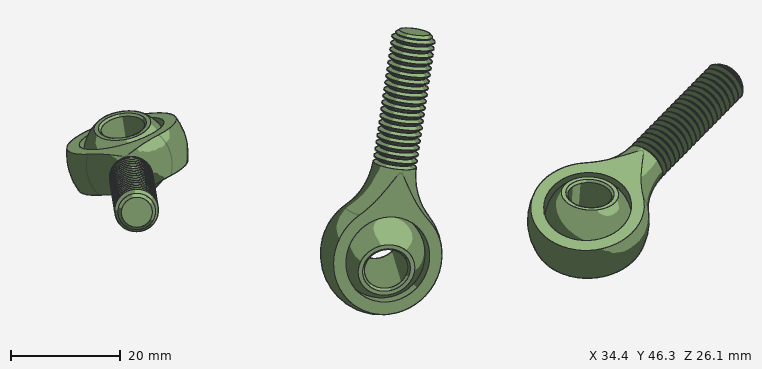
import cadquery as cq
import math

CENTRE = (-6.05, 12.1, -4.95)
STUD_DIRECTION = (48.8, -79.9, 35.2)
HEAD_NORMAL = (-39.0, 16.2, 90.6)
BALL_AXIS = (-17.5, 0.7, 98.5)

HEAD_RADIUS = 11.1
HEAD_THICKNESS = 8.05
BALL_DIAMETER = 16.05

STUD_END = 42.0
THREAD_LENGTH = 25.02
THREAD_START = STUD_END - THREAD_LENGTH
THREAD_RADIUS = 8.0 / 2
ROOT_RADIUS = 6.4 / 2
TIP_RADIUS = 2.83
TIP_CHAMFER_LENGTH = 1.0

THREAD_PITCH = 1.25
ROOT_FLAT = THREAD_PITCH / 8
FLANK_HALF_ANGLE = 30
GROOVE_MOUTH = ROOT_FLAT + 2 * (THREAD_RADIUS - ROOT_RADIUS) * math.tan(math.radians(FLANK_HALF_ANGLE))
GROOVE_COUNT = 20
FIRST_GROOVE = THREAD_START + 0.5

NECK_START = 7.9

BALL_WIDTH = 12.15
BORE_DIAMETER = 8.0
BORE_CHAMFER = 0.4


def head_and_neck():
    """Head sphere and neck revolved about the stud axis (local X), then cut to the flats."""
    neck_start_radius = math.sqrt(HEAD_RADIUS**2 - NECK_START**2)
    profile = (
        cq.Workplane("XY")
        .moveTo(-HEAD_RADIUS, 0)
        .threePointArc((0, HEAD_RADIUS), (NECK_START, neck_start_radius))
        .tangentArcPoint((THREAD_START, THREAD_RADIUS), relative=False)
        .lineTo(THREAD_START, 0)
        .close()
    )
    turned = profile.revolve(360, (0, 0, 0), (1, 0, 0))
    slab = cq.Workplane("XY").box(4 * HEAD_RADIUS, 4 * HEAD_RADIUS, HEAD_THICKNESS)
    seat = cq.Workplane("XY").circle(BALL_DIAMETER / 2).extrude(HEAD_THICKNESS, both=True)
    return turned.intersect(slab).cut(seat)


def stud_blank():
    """Plain stud along local X with a conical tip."""
    return (
        cq.Workplane("XY")
        .moveTo(THREAD_START, 0)
        .lineTo(THREAD_START, THREAD_RADIUS)
        .lineTo(STUD_END - TIP_CHAMFER_LENGTH, THREAD_RADIUS)
        .lineTo(STUD_END, TIP_RADIUS)
        .lineTo(STUD_END, 0)
        .close()
        .revolve(360, (0, 0, 0), (1, 0, 0))
    )


def thread_groove(position):
    """Ring with a V section and a narrow flat root, centred at a distance along local X."""
    mouth_half = GROOVE_MOUTH / 2
    root_half = ROOT_FLAT / 2
    return (
        cq.Workplane("XY")
        .moveTo(position - root_half, ROOT_RADIUS)
        .lineTo(position - mouth_half, THREAD_RADIUS)
        .lineTo(position + mouth_half, THREAD_RADIUS)
        .lineTo(position + root_half, ROOT_RADIUS)
        .close()
        .revolve(360, (0, 0, 0), (1, 0, 0))
    )


def threaded_stud():
    """Stud whose thread is a row of parallel ring grooves."""
    stud = stud_blank()
    for index in range(GROOVE_COUNT):
        stud = stud.cut(thread_groove(FIRST_GROOVE + index * THREAD_PITCH))
    return stud


def make_rod_end():
    """Head, neck and threaded stud as one solid."""
    body = head_and_neck().union(threaded_stud())
    plane = cq.Plane(origin=CENTRE, xDir=STUD_DIRECTION, normal=HEAD_NORMAL)
    return body.val().moved(plane.location)


def make_ball():
    """Ball with two flats and a through bore chamfered at both ends."""
    bore_radius = BORE_DIAMETER / 2
    slab = cq.Workplane("XY").box(BALL_DIAMETER, BALL_DIAMETER, BALL_WIDTH)
    bore = cq.Workplane("XY").circle(bore_radius).extrude(BALL_WIDTH, both=True)
    body = cq.Workplane("XY").sphere(BALL_DIAMETER / 2).intersect(slab).cut(bore)
    bore_rims = cq.selectors.RadiusNthSelector(0)
    body = body.faces("<Z or >Z").edges(bore_rims).chamfer(BORE_CHAMFER)
    plane = cq.Plane(origin=CENTRE, xDir=STUD_DIRECTION, normal=BALL_AXIS)
    return body.val().moved(plane.location)


rod_end = make_rod_end()
ball = make_ball()

result = cq.Compound.makeCompound([*rod_end.Solids(), *ball.Solids()])